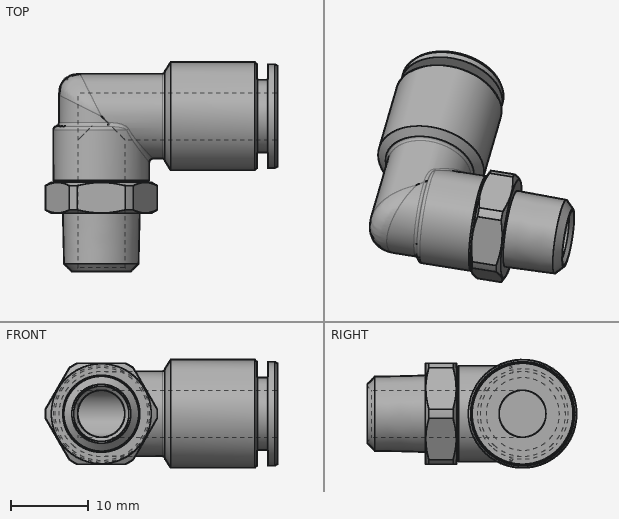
import cadquery as cq
import math


elbow_radius = 5.48
bend_tangent = 2.75
bore_radius = 3.02

arm_neck_end = 7.85
arm_fillet = 0.35
sleeve_cone_end = 8.95
sleeve_diameter = 14.0
sleeve_radius = sleeve_diameter / 2
sleeve_end = 20.07
sleeve_chamfer = 0.3
ring_neck_radius = 4.7
ring_neck_fillet = 0.15
ring_start = 21.47
ring_radius = 6.7
ring_end = 22.73
ring_chamfer_length = 0.4
ring_chamfer_height = 0.2

collar_start = 0.8
collar_radius = 6.2
collar_shoulder_end = 1.77
crotch_fillet = 0.48
collar_chamfer_start = 8.25
collar_chamfer = 0.2

nut_start = 8.5
nut_end = 12.52
nut_flats = 13.05
nut_corner_radius = 7.22
nut_face_radius = 6.45
nut_chamfer = (nut_corner_radius - nut_face_radius) * math.tan(math.radians(30))

thread_root_radius = 4.97
thread_tip_radius = 4.82
thread_chamfer_start = 19.02
thread_face_radius = 3.8
overall_depth = 27.0
stem_end = overall_depth - sleeve_radius
countersink_radius = 3.55
countersink_depth = countersink_radius - bore_radius


def spin_about_x(outline):
    return outline.close().revolve(360, (0, 0, 0), (1, 0, 0))


def spin_about_y(outline):
    return outline.close().revolve(360, (0, 0, 0), (0, 1, 0))


def make_elbow():
    """Two equal cylinders joined through a wedge of an ellipsoid tangent to both."""
    stretch = bend_tangent / elbow_radius
    long_scale = math.sqrt(1 + stretch)
    short_scale = math.sqrt(1 - stretch)
    half_angle = math.degrees(math.atan(short_scale / long_scale))
    half_disc = cq.Workplane("XZ").moveTo(0, -elbow_radius)
    half_disc = half_disc.threePointArc((elbow_radius, 0), (0, elbow_radius)).close()
    sphere_wedge = half_disc.revolve(2 * half_angle, (0, 0, 0), (0, 1, 0))
    sphere_wedge = sphere_wedge.rotate((0, 0, 0), (0, 0, 1), -half_angle)
    stretched_wedge = sphere_wedge.val().transformGeometry(
        cq.Matrix([[long_scale, 0, 0, 0], [0, short_scale, 0, 0], [0, 0, 1, 0]])
    )
    corner = cq.Workplane(stretched_wedge.rotate((0, 0, 0), (0, 0, 1), 135))

    far_x, far_y = 2 * bend_tangent, 2 * elbow_radius
    arm_point = (-far_x, far_y)
    stem_point = (-far_y, far_x)
    inner_point = (far_y, -far_y)

    def sector(*points):
        return cq.Workplane("XY").polyline([(0, 0), *points]).close().extrude(far_y, both=True)

    arm = cq.Workplane("YZ", origin=(-elbow_radius, 0, 0)).circle(elbow_radius)
    arm = arm.extrude(elbow_radius + arm_neck_end)
    stem = cq.Workplane("XZ", origin=(0, elbow_radius, 0)).circle(elbow_radius)
    stem = stem.extrude(elbow_radius + nut_start)
    arm = arm.intersect(sector(arm_point, (far_y, far_y), inner_point))
    stem = stem.intersect(sector(stem_point, (-far_y, -far_y), inner_point))
    return arm.union(stem).union(corner)


def make_sleeve():
    """Push-in sleeve with its release ring."""
    fillet_slant = arm_fillet * math.sqrt(0.5)
    outline = (
        cq.Workplane("XY")
        .moveTo(arm_neck_end, 0)
        .lineTo(arm_neck_end, elbow_radius)
        .threePointArc(
            (arm_neck_end + fillet_slant, elbow_radius + arm_fillet - fillet_slant),
            (arm_neck_end + arm_fillet, elbow_radius + arm_fillet),
        )
        .lineTo(sleeve_cone_end, sleeve_radius)
        .lineTo(sleeve_end - sleeve_chamfer, sleeve_radius)
        .lineTo(sleeve_end, sleeve_radius - sleeve_chamfer)
        .lineTo(sleeve_end, ring_neck_radius + ring_neck_fillet)
        .radiusArc((sleeve_end + ring_neck_fillet, ring_neck_radius), -ring_neck_fillet)
        .lineTo(ring_start - ring_neck_fillet, ring_neck_radius)
        .radiusArc((ring_start, ring_neck_radius + ring_neck_fillet), -ring_neck_fillet)
        .lineTo(ring_start, ring_radius)
        .lineTo(ring_end - ring_chamfer_length, ring_radius)
        .lineTo(ring_end, ring_radius - ring_chamfer_height)
        .lineTo(ring_end, 0)
    )
    return spin_about_x(outline)


def make_collar():
    """Round collar with a rolled shoulder and a relief next to the nut."""
    rise = collar_radius - elbow_radius
    run = collar_shoulder_end - collar_start
    turn = 2 * math.atan(rise / run)
    arc_radius = run / (2 * math.sin(turn))
    arc_run = arc_radius * math.sin(turn / 2)
    arc_rise = arc_radius * (1 - math.cos(turn / 2))
    relief_radius = collar_radius - collar_chamfer
    outline = (
        cq.Workplane("XY")
        .moveTo(0, -collar_start)
        .lineTo(elbow_radius, -collar_start)
        .threePointArc(
            (elbow_radius + arc_rise, -collar_start - arc_run),
            (elbow_radius + rise / 2, -collar_start - run / 2),
        )
        .threePointArc(
            (collar_radius - arc_rise, -collar_shoulder_end + arc_run),
            (collar_radius, -collar_shoulder_end),
        )
        .lineTo(collar_radius, -collar_chamfer_start)
        .lineTo(relief_radius, -collar_chamfer_start - collar_chamfer)
        .lineTo(relief_radius, -nut_start)
        .lineTo(0, -nut_start)
    )
    return spin_about_y(outline)


def fillet_crotch(body):
    """Round the inside corner where the collar runs into the arm."""
    crotch_box = cq.selectors.BoxSelector(
        (bore_radius, -elbow_radius, -elbow_radius),
        (collar_radius, -collar_shoulder_end, elbow_radius),
    )
    return body.edges(crotch_box).fillet(crotch_fillet)


def make_nut():
    """Hexagon with turned corners, chamfered on both faces; two flats face +Z and -Z."""
    corner_diameter = nut_flats / math.cos(math.radians(30))
    hexagon = cq.Workplane("XZ", origin=(0, -nut_start, 0)).polygon(6, corner_diameter)
    hexagon = hexagon.extrude(nut_end - nut_start)
    turned = cq.Workplane("XY").polyline([
        (0, -nut_start),
        (nut_face_radius, -nut_start),
        (nut_corner_radius, -nut_start - nut_chamfer),
        (nut_corner_radius, -nut_end + nut_chamfer),
        (nut_face_radius, -nut_end),
        (0, -nut_end),
    ])
    return hexagon.intersect(spin_about_y(turned))


def make_thread():
    """Plain tapered body of the thread with a chamfered tip."""
    outline = cq.Workplane("XY").polyline([
        (0, -nut_end),
        (thread_root_radius, -nut_end),
        (thread_tip_radius, -thread_chamfer_start),
        (thread_face_radius, -stem_end),
        (0, -stem_end),
    ])
    return spin_about_y(outline)


def make_bore():
    """Passage from the countersunk thread tip to the open end of the arm."""
    stem_bore = spin_about_y(cq.Workplane("XY").polyline([
        (0, 0),
        (bore_radius, 0),
        (bore_radius, -stem_end + countersink_depth),
        (countersink_radius, -stem_end),
        (0, -stem_end),
    ]))
    arm_bore = cq.Workplane("YZ", origin=(-bore_radius, 0, 0)).circle(bore_radius)
    return stem_bore.union(arm_bore.extrude(bore_radius + ring_end))


result = fillet_crotch(make_elbow().union(make_collar()))
for section in (make_sleeve(), make_nut(), make_thread()):
    result = result.union(section)
result = result.cut(make_bore())